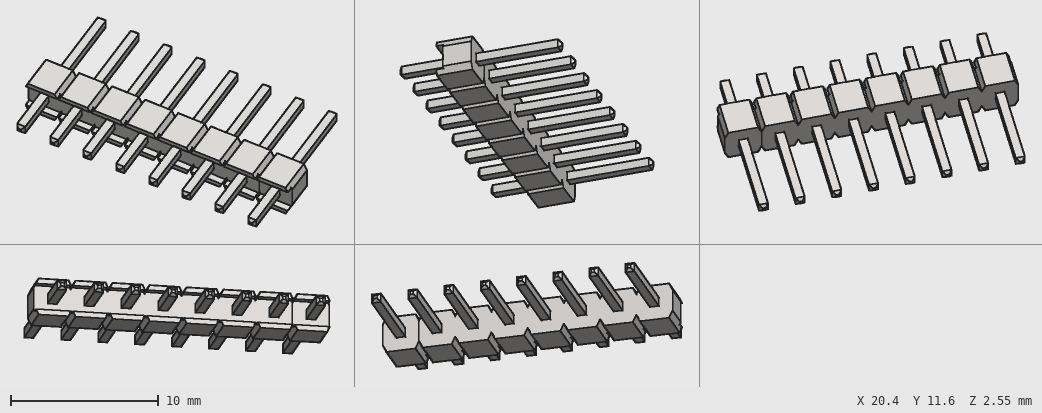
import cadquery as cq

pitch = 2.55
pin_count = 8
single_ways = 1
notch_width = 0.25
notch_depth = 0.5
lip_thickness = 0.37
channel_depth = 0.5
pin_width = 0.63
pin_length = 11.6
pin_front_reach = 2.99
tip_taper = 0.2

strip_ways = pin_count - single_ways
row_length = pin_count * pitch
row_start = -row_length / 2
half_height = pitch / 2
shoulder_height = half_height - notch_depth
channel_height = pitch - 2 * lip_thickness
pin_shaft_length = pin_length - 2 * tip_taper
tip_width = pin_width - 2 * tip_taper


def way_center(way):
    """X position of the pin in the given way, counted from the -X end."""
    return row_start + (way + 0.5) * pitch


def make_way_block(way):
    """One octagonal housing way, drawn in XZ and extruded towards +Y."""
    half_width = pitch / 2
    top_half_width = half_width - notch_width
    right_side = [
        (top_half_width, -half_height),
        (half_width, -shoulder_height),
        (half_width, shoulder_height),
        (top_half_width, half_height),
    ]
    left_side = [(-x, z) for x, z in reversed(right_side)]
    return (
        cq.Workplane("XZ")
        .polyline(right_side + left_side)
        .close()
        .extrude(-pitch)
        .translate((way_center(way), 0, 0))
    )


def make_housing(first_way, way_count):
    """Housing with a channel along its front face and a square hole for each pin."""
    ways = range(first_way, first_way + way_count)
    housing = make_way_block(first_way)
    for way in ways[1:]:
        housing = housing.union(make_way_block(way))

    channel = (
        cq.Workplane("XY")
        .box(row_length, channel_depth, channel_height)
        .translate((0, channel_depth / 2, 0))
    )
    housing = housing.cut(channel)

    for way in ways:
        hole = (
            cq.Workplane("XY")
            .box(pin_width, pitch, pin_width)
            .translate((way_center(way), pitch / 2, 0))
        )
        housing = housing.cut(hole)
    return housing


def make_tip(shoulder_y, direction):
    """Pyramid-shaped pin end, narrowing from shoulder_y in the given Y direction."""
    return (
        cq.Workplane("XZ", origin=(0, shoulder_y, 0))
        .rect(pin_width, pin_width)
        .workplane(offset=-direction * tip_taper)
        .rect(tip_width, tip_width)
        .loft(ruled=True)
    )


def make_pin(way):
    """Square pin along Y with both ends tapered."""
    shaft_front = tip_taper - pin_front_reach
    shaft_back = shaft_front + pin_shaft_length
    shaft = (
        cq.Workplane("XZ", origin=(0, shaft_front, 0))
        .rect(pin_width, pin_width)
        .extrude(-pin_shaft_length)
    )
    pin = shaft.union(make_tip(shaft_front, -1)).union(make_tip(shaft_back, 1))
    return pin.translate((way_center(way), 0, 0))


strip_housing = make_housing(0, strip_ways)
single_housing = make_housing(strip_ways, single_ways)
pins = [make_pin(way) for way in range(pin_count)]

bodies = [strip_housing, single_housing, *pins]
result = cq.Compound.makeCompound([body.solids().val() for body in bodies])